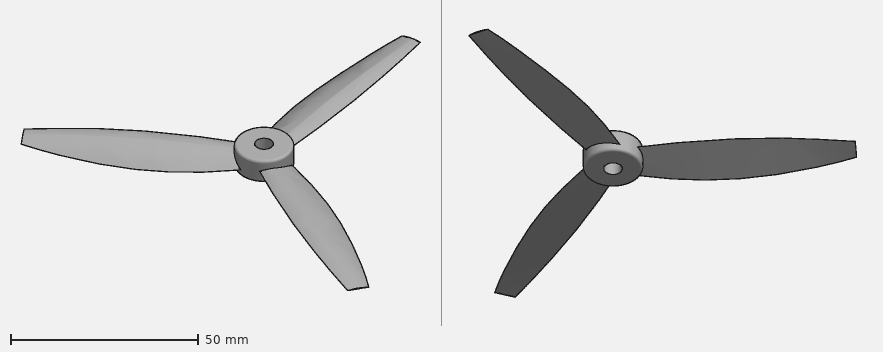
import cadquery as cq

hub_diameter = 16.0
hub_height = 7.0
hub_edge_radius = 0.8
bore_diameter = 5.0

blade_count = 3
ridge_y = -0.5
ridge_slope_factor = 0.7

blade_stations = [
    (4.6, -3.9, 0.1, 0.9, 5.7, -1.4),
    (17.3, -4.9, 0.6, 1.4, 7.7, -2.0),
    (31.2, -5.2, 0.8, 1.7, 8.3, -2.2),
    (43.9, -4.9, 0.8, 1.5, 7.3, -2.0),
    (55.5, -3.9, 0.5, 0.9, 5.4, -1.3),
    (65.0, -2.9, 0.1, 0.2, 3.2, -0.5),
]


def blade_section(radius, lead_y, lead_z, ridge_z, trail_y, trail_z):
    """Airfoil with a flat underside and an upper face that is smooth across the ridge."""
    lead = cq.Vector(radius, lead_y, lead_z)
    ridge = cq.Vector(radius, ridge_y, ridge_z)
    trail = cq.Vector(radius, trail_y, trail_z)
    chord_slope = (trail_z - lead_z) / (trail_y - lead_y)
    ridge_tangent = cq.Vector(0, 1, ridge_slope_factor * chord_slope)
    front_span = ridge - lead
    rear_span = trail - ridge
    lead_tangent = front_span.normalized() * 2 - ridge_tangent.normalized()
    trail_tangent = rear_span.normalized() * 2 - ridge_tangent.normalized()
    front = cq.Edge.makeSpline([lead, ridge], tangents=[lead_tangent, ridge_tangent])
    rear = cq.Edge.makeSpline([ridge, trail], tangents=[ridge_tangent, trail_tangent])
    underside = cq.Edge.makeLine(trail, lead)
    return cq.Wire.assembleEdges([front, rear, underside])


def make_blade():
    sections = [blade_section(*station) for station in blade_stations]
    return cq.Workplane(cq.Solid.makeLoft(sections))


def make_hub():
    hub = cq.Workplane("XY").circle(hub_diameter / 2).extrude(hub_height / 2, both=True)
    return hub.edges().fillet(hub_edge_radius)


blade = make_blade()
result = make_hub()
for index in range(blade_count):
    result = result.union(blade.rotate((0, 0, 0), (0, 0, 1), index * 360 / blade_count))

bore = cq.Workplane("XY").circle(bore_diameter / 2).extrude(hub_height, both=True)
result = result.cut(bore)